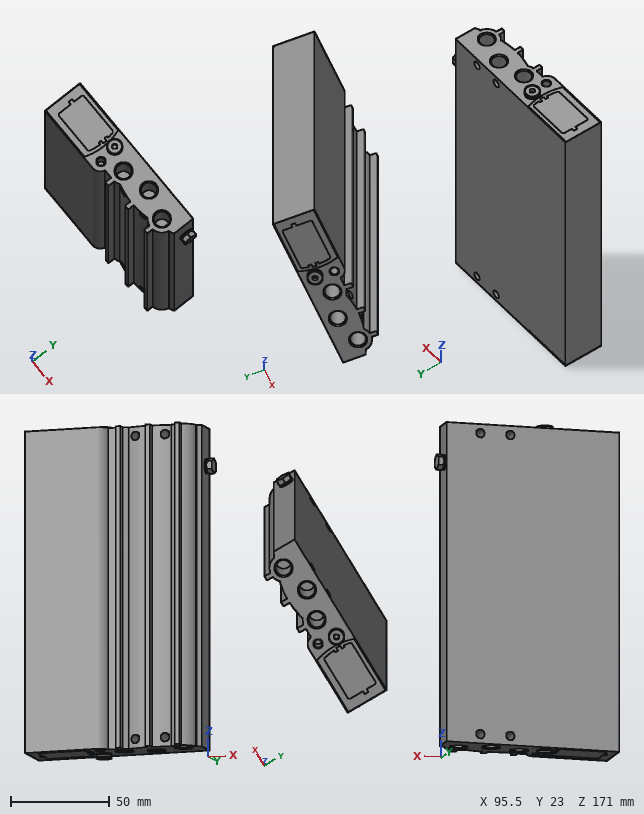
import cadquery as cq
total_length = 171.0
fitting_height = 2.2
body_length = total_length - 2 * fitting_height
end_z = body_length / 2
body_width = 91.5
body_depth = 23.0

port_pitch = 15.9
first_port_x = 49.8
port_xs = [first_port_x + i * port_pitch for i in range(3)]
port_ys = [-11.8, -8.0, -12.5]
port_diameter = 8.0
port_chamfer = 0.7
port_hole_depth = 17.1

small_hole_x = 38.6
small_hole_y = -17.6
small_hole_diameter = 4.1
small_hole_chamfer = 0.43
small_hole_depth = 8.5

corner_x = 38.5
corner_radius = 5.1
boss_radius = 7.2
shelf_y = port_ys[0] - boss_radius
web_front_y = -19.2
web_radius = 44.5
ledge_start_y = -12.5
ledge_end_y = -13.7
ledge_width = 2.4

rib_width = 2.5
rib_tip_ys = [-22.7, -22.7, -body_depth]
rib_tip_radius = 0.45

cross_hole_diameter = 4.5
cross_hole_end_distance = 4.8

step_depth = 0.09
panel_left_x = 0.2
panel_right_x = 31.5
panel_margin = 0.5
panel_bulge = 1.9
panel_corner_radius = 0.7
window_left_x = 5.6
window_right_x = 30.5
window_back_y = -2.7
window_front_y = -19.2
window_bulge = 1.0
window_corner_radius = 1.0
key_left_x = 4.0
key_right_x = 32.0
key_width = 2.2
key_y = -9.5
land_left_x = 30.3
land_width = 5.5

fitting_x = 37.3
fitting_y = -7.5
fitting_diameter = 8.0
fitting_bore = 2.7
fitting_groove_depth = 0.3
fitting_groove_base = 0.7
fitting_groove_width = 1.2

screw_y = -4.8
screw_z = 63.1
screw_length = 95.5 - body_width
washer_diameter = 7.7
washer_thickness = 0.5
hex_corner_diameter = 8.2
hex_trim_diameter = 8.5
hex_chamfer = 1.2


def bar(x_min, x_max, y_min, y_max):
    """Rectangular bar over the full body length."""
    return cq.Workplane("XY").box(
        x_max - x_min, y_max - y_min, body_length, centered=(False, False, True)
    ).translate((x_min, y_min, 0))


def rod(x, y, radius):
    """Round bar over the full body length."""
    return cq.Workplane("XY").center(x, y).circle(radius).extrude(end_z, both=True)


def make_web():
    """Stretch between the outer ports, with a gently bowed front."""
    web = bar(port_xs[0], port_xs[2], web_front_y, 0)
    return web.intersect(rod(port_xs[1], web_front_y + web_radius, web_radius))


def make_right_side():
    """Stretch right of the last port, ending in a sloped ledge."""
    outline = [
        (port_xs[2], 0),
        (body_width, 0),
        (body_width, ledge_start_y),
        (body_width - ledge_width, ledge_end_y),
        (port_xs[2], ledge_end_y),
    ]
    return cq.Workplane("XY").polyline(outline).close().extrude(end_z, both=True)


def make_profile():
    """Full-length extrusion with bosses and ribs."""
    profile = bar(0, corner_x, -body_depth, 0)
    profile = profile.union(rod(corner_x, corner_radius - body_depth, corner_radius))
    profile = profile.union(bar(corner_x, port_xs[0], shelf_y, 0))
    profile = profile.union(make_web()).union(make_right_side())
    for i in (0, 2):
        profile = profile.union(rod(port_xs[i], port_ys[i], boss_radius))
    for x, port_y, tip_y in zip(port_xs, port_ys, rib_tip_ys):
        rib = bar(x - rib_width / 2, x + rib_width / 2, tip_y, port_y)
        profile = profile.union(rib.faces("<Y").edges("<X").fillet(rib_tip_radius))
    return profile.clean()


def blind_hole(x, y, diameter, depth, chamfer):
    """Cutter for a blind hole with a chamfered mouth in the top end face."""
    mouth = diameter / 2 + chamfer
    outline = [
        (0, end_z),
        (mouth, end_z),
        (diameter / 2, end_z - chamfer),
        (diameter / 2, end_z - depth),
        (0, end_z - depth),
    ]
    hole = cq.Workplane("XZ").polyline(outline).close().revolve(360, (0, 0, 0), (0, 1, 0))
    return hole.translate((x, y, 0))


def bowed_plate(left, right, front, back, bulge, corner_radius, bottom_z, top_z):
    """Plate with rounded corners and a right edge that bows outward by the bulge."""
    return (
        cq.Workplane("XY", origin=(0, 0, bottom_z))
        .moveTo(left, front)
        .lineTo(right, front)
        .threePointArc((right + bulge, (front + back) / 2), (right, back))
        .lineTo(left, back)
        .close()
        .extrude(top_z - bottom_z)
        .edges("|Z")
        .fillet(corner_radius)
    )


def panel_cutter():
    """Cutter for the shallow panel on the top end of the left block."""
    return bowed_plate(
        panel_left_x, panel_right_x, panel_margin - body_depth, -panel_margin,
        panel_bulge, panel_corner_radius, end_z - step_depth, end_z,
    )


def window_cutter():
    """Cutter for the keyed window, one step deeper than the panel."""
    bottom_z = end_z - 2 * step_depth
    window = bowed_plate(
        window_left_x, window_right_x, window_front_y, window_back_y,
        window_bulge, window_corner_radius, bottom_z, end_z,
    )
    land = cq.Workplane("XY").box(
        body_width, land_width, 2 * step_depth, centered=(False, True, False)
    ).translate((land_left_x, key_y, bottom_z))
    keys = cq.Workplane("XY").box(
        key_right_x - key_left_x, key_width, 2 * step_depth, centered=(False, True, False)
    ).translate((key_left_x, key_y, bottom_z))
    return window.cut(land).union(keys)


def make_body():
    body = make_profile()

    end_cutters = [panel_cutter(), window_cutter()]
    end_cutters.append(
        blind_hole(
            small_hole_x, small_hole_y, small_hole_diameter, small_hole_depth, small_hole_chamfer
        )
    )
    for x, y in zip(port_xs, port_ys):
        end_cutters.append(blind_hole(x, y, port_diameter, port_hole_depth, port_chamfer))
    for cutter in end_cutters:
        body = body.cut(cutter).cut(cutter.mirror("XY"))

    hole_z = end_z - cross_hole_end_distance
    hole_points = [
        (x + port_pitch / 2, z) for x in port_xs[:2] for z in (-hole_z, hole_z)
    ]
    cross_holes = (
        cq.Workplane("XZ").pushPoints(hole_points).circle(cross_hole_diameter / 2).extrude(body_depth)
    )
    return body.cut(cross_holes)


def make_fitting():
    """Bored round fitting with a shallow groove around it, standing on the top end face."""
    fitting = cq.Workplane("XY").circle(fitting_diameter / 2).extrude(fitting_height)
    groove = (
        cq.Workplane("XY", origin=(0, 0, fitting_groove_base))
        .circle(fitting_diameter / 2)
        .circle(fitting_diameter / 2 - fitting_groove_depth)
        .extrude(fitting_groove_width)
    )
    bore = cq.Workplane("XY").circle(fitting_bore / 2).extrude(fitting_height)
    return fitting.cut(groove).cut(bore).translate((fitting_x, fitting_y, end_z))


def make_screw():
    """Hexagon head on a round washer face, with corners up and down."""
    washer = cq.Workplane("YZ").circle(washer_diameter / 2).extrude(washer_thickness)
    head = (
        cq.Workplane("YZ", origin=(washer_thickness, 0, 0))
        .transformed(rotate=(0, 0, 90))
        .polygon(6, hex_corner_diameter)
        .extrude(screw_length - washer_thickness)
    )
    trim = (
        cq.Workplane("YZ", origin=(washer_thickness, 0, 0))
        .circle(hex_trim_diameter / 2)
        .extrude(screw_length - washer_thickness)
        .faces("<X")
        .chamfer(hex_chamfer)
    )
    screw = washer.union(head.intersect(trim))
    return screw.translate((body_width, screw_y, screw_z))


body = make_body()
screw = make_screw()
top_fitting = make_fitting()
fittings = [top_fitting, top_fitting.mirror("XY")]

result = cq.Compound.makeCompound(
    [body.val(), screw.val()] + [fitting.val() for fitting in fittings]
)